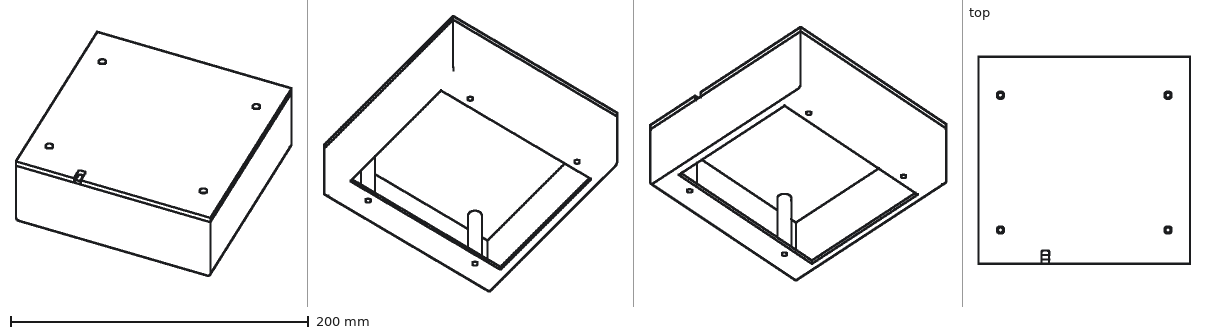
import cadquery as cq

length = 142.0
width = 139.0
height = 53.8
edge_radius = 2.5

lid_thickness = 4.0
housing_height = height - lid_thickness

wall = 3.0
floor_thickness = 3.0
front_rim = 3.0
inner_length = length - 2 * wall
inner_width = width - 2 * wall
opening_length = 100.0
opening_width = inner_width - 2 * front_rim

clearance_diameter = 5.0
pilot_diameter = 3.5
pilot_chamfer = (clearance_diameter - pilot_diameter) / 2
pilot_chamfer_angle = 45
post_diameter = 9.5
screw_spacing_x = 112.5
screw_spacing_y = 90.5
screw_center_y = -1.5

slot_width = 5.0
slot_depth = 8.8
slot_center_x = -26.1
slot_corner_radius = 0.9


def screw_circles(diameter, level):
    """Circles at the four screw positions, at the given height."""
    return (
        cq.Workplane("XY", origin=(0, screw_center_y, level))
        .rect(screw_spacing_x, screw_spacing_y, forConstruction=True)
        .vertices()
        .circle(diameter / 2)
    )


def make_pilot_cutters():
    """Cutters for the pilot holes, each flaring out to the clearance diameter at the post top."""
    holes = screw_circles(pilot_diameter, 0).extrude(housing_height)
    flares = screw_circles(clearance_diameter, housing_height)
    flares = flares.extrude(-pilot_chamfer, taper=pilot_chamfer_angle)
    return holes.union(flares)


def make_housing():
    """Open-topped box with a floor opening, rounded lower edges and screw posts."""
    block = cq.Workplane("XY").box(length, width, housing_height, centered=(True, True, False))
    block = block.edges("<Z").edges("|Y or >Y").fillet(edge_radius)
    cavity = (
        cq.Workplane("XY", origin=(0, 0, floor_thickness))
        .rect(inner_length, inner_width)
        .extrude(housing_height - floor_thickness)
    )
    opening = cq.Workplane("XY").rect(opening_length, opening_width).extrude(floor_thickness)
    posts = screw_circles(post_diameter, 0).extrude(housing_height)
    return block.cut(cavity).cut(opening).union(posts).cut(make_pilot_cutters())


def make_slot():
    """Cutter for the cable slot, rounded at its two inner corners."""
    slot = cq.Workplane("XY", origin=(slot_center_x, -width / 2, housing_height))
    slot = slot.box(slot_width, slot_depth, lid_thickness, centered=(True, False, False))
    return slot.edges("|Z and >Y").fillet(slot_corner_radius)


def make_lid():
    """Flat plate flush with the walls, with four clearance holes and the cable slot."""
    plate = cq.Workplane("XY", origin=(0, 0, housing_height))
    plate = plate.box(length, width, lid_thickness, centered=(True, True, False))
    clearance_holes = screw_circles(clearance_diameter, housing_height).extrude(lid_thickness)
    return plate.cut(clearance_holes).cut(make_slot())


housing = make_housing()
lid = make_lid()
result = cq.Compound.makeCompound([housing.val(), lid.val()])